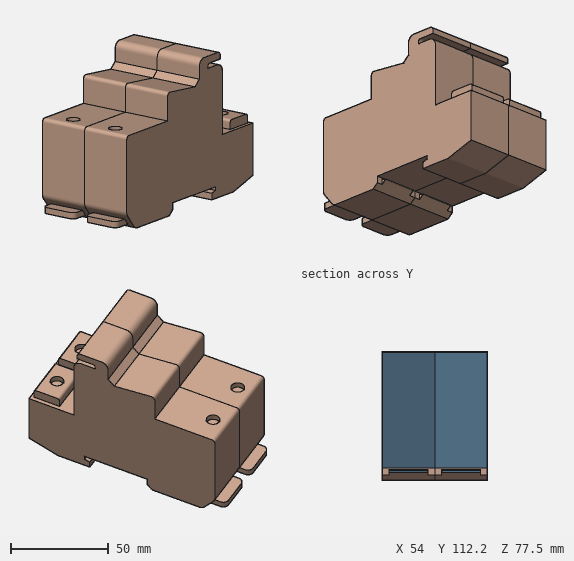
import cadquery as cq


overall_width = 54.0
overall_length = 112.2
overall_height = 77.5
module_count = 2
module_width = overall_width / module_count

clip_reach = 4.4
clip_width = 20.0
clip_bottom = 2.1
clip_thickness = 3.4
clip_corner_radius = 3.0
clip_root = 11.2
hook_tip_y = 42.0
hook_tip_z = 4.9
hook_root_z = 5.5

housing_length = overall_length - clip_reach
front_bevel_length = 7.3
front_bevel_height = 9.0
front_bevel_radius = 4.0
back_bevel_length = 16.8
back_bevel_height = 4.9
notch_depth = 6.3
notch_front_y = 39.4
notch_front_base_y = 36.4
notch_back_y = 75.7
lip_end_y = 72.6
lip_end_z = 3.6
lip_root_z = 4.4

front_shelf_z = 50.9
back_shelf_z = 32.9

tower_back_y = 81.8
tower_back_radius = 4.5
step_front_y = 34.9
step_front_z = 66.1
valley_y = 58.3
valley_z = 63.7
ledge_front_y = 61.9
ledge_front_base_z = 67.0
ledge_front_radius = 4.0
ledge_back_y = 79.9
slot_end_y = 69.5
slot_floor_z = 71.0
slot_height = 2.5
slot_radius = 1.1
edge_radius = 2.0

block_width = 22.5
block_length = 14.9
block_top_z = 37.9
block_back_gap = 1.7
block_radius = 1.5
block_center_y = housing_length - block_back_gap - block_length / 2

hole_diameter = 7.0
hole_depth = 3.0
front_hole_y = 8.3

hook_slope = hook_tip_z / (hook_tip_y - notch_front_base_y)
notch_front_z = hook_slope * (notch_front_y - notch_front_base_y)


def extrude_centered(points, width):
    """Extrude a (Y, Z) outline along X, centered on X = 0."""
    return cq.Workplane("YZ").polyline(points).close().extrude(width / 2, both=True)


def make_housing():
    slot_roof_z = slot_floor_z + slot_height
    front_shelf_corner = (0, front_shelf_z)
    front_bevel_top = (0, front_bevel_height)
    front_bevel_base = (front_bevel_length, 0)
    step_corner = (step_front_y, step_front_z)
    ledge_front_corner = (ledge_front_y, overall_height)
    ledge_back_corner = (ledge_back_y, overall_height)
    slot_corner = (slot_end_y, slot_roof_z)
    tower_back_corner = (tower_back_y, slot_floor_z)

    outline = [
        front_bevel_base,
        front_bevel_top,
        front_shelf_corner,
        (step_front_y, front_shelf_z),
        step_corner,
        (valley_y, valley_z),
        (ledge_front_y, ledge_front_base_z),
        ledge_front_corner,
        ledge_back_corner,
        (ledge_back_y, slot_roof_z),
        slot_corner,
        (slot_end_y, slot_floor_z),
        tower_back_corner,
        (tower_back_y, back_shelf_z),
        (housing_length, back_shelf_z),
        (housing_length, back_bevel_height),
        (housing_length - back_bevel_length, 0),
        (lip_end_y, 0),
        (lip_end_y, lip_end_z),
        (notch_back_y, lip_root_z),
        (notch_back_y, notch_depth),
        (notch_front_y, notch_depth),
        (notch_front_y, notch_front_z),
        (notch_front_base_y, 0),
    ]
    housing = extrude_centered(outline, module_width)

    rounded_corners = [
        (front_bevel_base, front_bevel_radius),
        (front_bevel_top, front_bevel_radius),
        (front_shelf_corner, edge_radius),
        (step_corner, edge_radius),
        (ledge_front_corner, ledge_front_radius),
        (ledge_back_corner, edge_radius),
        (slot_corner, slot_radius),
        (tower_back_corner, tower_back_radius),
    ]
    for (y, z), radius in rounded_corners:
        corner_edge = cq.selectors.NearestToPointSelector((0, y, z))
        housing = housing.edges(corner_edge).fillet(radius)
    return housing


def make_block():
    """Raised block whose front and back top edges are rounded."""
    height = block_top_z - back_shelf_z
    return (
        cq.Workplane("XY", origin=(0, block_center_y, back_shelf_z))
        .rect(block_width, block_length)
        .extrude(height)
        .edges(">Z and |X")
        .fillet(block_radius)
    )


def make_clip_tab():
    """Flat tab with rounded front corners."""
    length = clip_reach + clip_root
    return (
        cq.Workplane("XY", origin=(0, length / 2 - clip_reach, clip_bottom))
        .rect(clip_width, length)
        .extrude(clip_thickness)
        .edges("<Y and |Z")
        .fillet(clip_corner_radius)
    )


def make_clip_hook():
    """Wedge that reaches from the front wall of the notch over the rail."""
    outline = [
        (notch_front_base_y, 0),
        (hook_tip_y, hook_tip_z),
        (notch_front_y, hook_root_z),
        (notch_front_base_y, hook_root_z),
    ]
    return extrude_centered(outline, clip_width)


def make_screw_hole(y, top_z):
    return (
        cq.Workplane("XY", origin=(0, y, top_z))
        .circle(hole_diameter / 2)
        .extrude(-hole_depth)
    )


def make_module(center_x):
    module = make_housing()
    for feature in (make_block(), make_clip_tab(), make_clip_hook()):
        module = module.union(feature)
    for hole_y, top_z in ((front_hole_y, front_shelf_z), (block_center_y, block_top_z)):
        module = module.cut(make_screw_hole(hole_y, top_z))
    return module.translate((center_x, 0, 0))


modules = []
for index in range(module_count):
    module_center_x = (index - (module_count - 1) / 2) * module_width
    modules.append(make_module(module_center_x).val())

result = cq.Compound.makeCompound(modules)